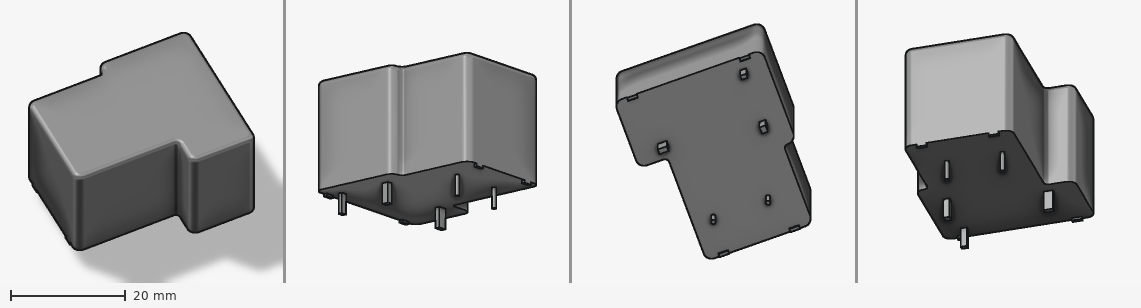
import cadquery as cq

width = 27.45
depth = 32.5
total_height = 23.75
pin_length = 3.75
body_height = total_height - pin_length
left_step = 2.35
right_step = 5.33
left_shoulder = 17.52
right_shoulder = 12.75
outer_corner_radius = 1.5
inner_corner_radius = 0.78
top_fillet = 1.0

foot_length = 1.8
foot_width = 0.62
foot_height = 0.45
foot_inset = 2.4

pin_embed = 0.33
pin_centre_x = -0.55
coil_half_spacing = 5.07
contact_half_spacing = 8.88
coil_diameter = 0.78
coil_from_rear = 25.35
left_contact_width = 1.1
right_contact_width = 1.7
front_contact_thickness = 1.25
middle_contact_thickness = 0.9
rear_contact_thickness = 0.78
front_contact_from_rear = 12.7
middle_contact_from_rear = 10.2
rear_contact_from_rear = 2.6

left = -width / 2
right = width / 2
rear = depth / 2
front = -depth / 2
front_left = left + left_step
front_right = right - right_step


def corner_edges(solid, x, y):
    """Select the vertical edge standing at (x, y)."""
    size = 0.15
    box = cq.selectors.BoxSelector((x - size, y - size, 0), (x + size, y + size, body_height))
    return solid.edges("|Z").edges(box)


def make_housing():
    left_corner_y = rear - left_shoulder
    right_corner_y = rear - right_shoulder
    outer_corners = [
        (left, rear),
        (right, rear),
        (right, right_corner_y),
        (front_right, front),
        (front_left, front),
        (left, left_corner_y),
    ]
    inner_corners = [(front_right, right_corner_y), (front_left, left_corner_y)]
    outline = [
        *outer_corners[:3],
        inner_corners[0],
        *outer_corners[3:5],
        inner_corners[1],
        outer_corners[5],
    ]
    housing = cq.Workplane("XY").polyline(outline).close().extrude(body_height)
    for x, y in outer_corners:
        housing = corner_edges(housing, x, y).fillet(outer_corner_radius)
    for x, y in inner_corners:
        housing = corner_edges(housing, x, y).fillet(inner_corner_radius)
    return housing.faces(">Z").edges().fillet(top_fillet)


def make_foot(x, y):
    """Foot centred at (x, y), hanging below the housing."""
    foot = cq.Workplane("XY").box(foot_length, foot_width, foot_height, centered=(True, True, False))
    return foot.translate((x, y, -foot_height))


def pin_start(x, from_rear):
    return cq.Workplane("XY", origin=(x, rear - from_rear, -pin_length))


def make_flat_pin(x, from_rear, pin_width, thickness):
    return pin_start(x, from_rear).rect(pin_width, thickness).extrude(pin_length + pin_embed)


def make_round_pin(x, from_rear):
    return pin_start(x, from_rear).circle(coil_diameter / 2).extrude(pin_length + pin_embed)


result = make_housing()

foot_centre_inset = foot_inset + foot_length / 2
foot_rows = [
    (left, right, rear - foot_width / 2),
    (front_left, front_right, front + foot_width / 2),
]
for row_left, row_right, row_y in foot_rows:
    result = result.union(make_foot(row_left + foot_centre_inset, row_y))
    result = result.union(make_foot(row_right - foot_centre_inset, row_y))

for side in (-1, 1):
    result = result.union(make_round_pin(pin_centre_x + side * coil_half_spacing, coil_from_rear))

left_contact_x = pin_centre_x - contact_half_spacing
right_contact_x = pin_centre_x + contact_half_spacing
contacts = [
    (left_contact_x, front_contact_from_rear, left_contact_width, front_contact_thickness),
    (right_contact_x, middle_contact_from_rear, right_contact_width, middle_contact_thickness),
    (left_contact_x, rear_contact_from_rear, left_contact_width, rear_contact_thickness),
]
for contact in contacts:
    result = result.union(make_flat_pin(*contact))